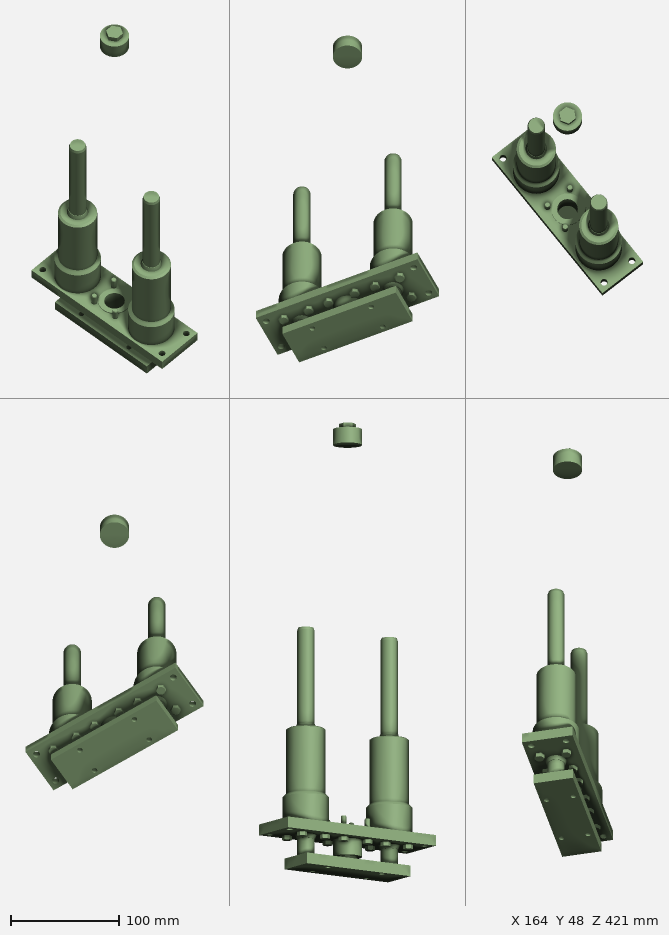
import cadquery as cq
import math

plate_thickness = 10.0
housing_bottom = 30.5
housing_top = housing_bottom + plate_thickness
overall_height = 421.0

rod_x = 46.3
rod_diameter = 16.0
rod_top = 224.5
rod_chamfer_height = 2.5
rod_chamfer_width = 1.0
sleeve_lower_diameter = 43.0
sleeve_upper_diameter = 36.0
sleeve_shoulder_bottom = 65.5
sleeve_shoulder_top = 69.0
sleeve_top = 130.5
sleeve_edge_height = 1.3
sleeve_edge_width = 2.0
wiper_base_diameter = 19.8
wiper_end_diameter = 17.0
wiper_height = 3.8

housing_length = 164.0
housing_width = 48.0
base_length = 115.5
base_width = 37.0
mount_hole_diameter = 6.5
mount_hole_x = 75.0
mount_hole_y = 16.5
base_hole_diameter = 5.0
base_hole_x = 30.0
base_hole_y = 12.5

socket_flange_diameter = 30.0
socket_flange_height = 1.0
socket_diameter = 27.0
socket_bottom = 14.7
socket_bore_diameter = 19.0
neck_diameter = 17.0

head_across_flats = 8.0
head_height = 4.0
head_chamfer_height = 0.7
sleeve_screw_offset = 12.5
screw_circle_diameter = 37.5
socket_screw_offset = screw_circle_diameter / 2 * math.cos(math.pi / 4)
screw_diameter = 5.0
screw_tip_diameter = 4.12
screw_top = 50.0
screw_tip_height = 1.0
screw_hole_diameter = 5.5

plug_diameter = 27.0
plug_height = 14.7
plug_hex_across_flats = 14.0
plug_hex_height = 5.0


def cylinder(diameter, bottom, top, x=0.0, y=0.0):
    """Upright cylinder between two heights."""
    return cq.Workplane("XY", origin=(x, y, bottom)).circle(diameter / 2).extrude(top - bottom)


def hexagon(across_flats, bottom, height, x=0.0, y=0.0):
    """Upright hexagonal prism with two of its flats facing +X and -X."""
    across_corners = across_flats / math.cos(math.pi / 6)
    outline = cq.Workplane("XY", origin=(x, y, bottom)).transformed(rotate=(0, 0, 30))
    return outline.polygon(6, across_corners).extrude(height)


def plate(length, width, bottom):
    """Flat plate centred on the Z axis."""
    blank = cq.Workplane("XY", origin=(0, 0, bottom))
    return blank.box(length, width, plate_thickness, centered=(True, True, False))


def corners(x, y):
    """The four points at (+-x, +-y)."""
    return [(side_x * x, side_y * y) for side_x in (-1, 1) for side_y in (-1, 1)]


def turned(profile, x, y=0.0):
    """Solid of revolution about the vertical line at (x, y), from (radius, height) points."""
    return cq.Workplane("XZ", origin=(x, y, 0)).polyline(profile).close().revolve(360, (0, 0), (0, 1))


def make_sleeve(x):
    """Stepped sleeve with a tapered wiper at each end, bored for its rod."""
    bore_radius = rod_diameter / 2
    upper_radius = sleeve_upper_diameter / 2
    lower_radius = sleeve_lower_diameter / 2
    wiper_base_radius = wiper_base_diameter / 2
    wiper_end_radius = wiper_end_diameter / 2
    profile = [
        (bore_radius, housing_bottom - wiper_height),
        (wiper_end_radius, housing_bottom - wiper_height),
        (wiper_base_radius, housing_bottom),
        (lower_radius, housing_bottom),
        (lower_radius, sleeve_shoulder_bottom),
        (upper_radius, sleeve_shoulder_top),
        (upper_radius, sleeve_top - sleeve_edge_height),
        (upper_radius - sleeve_edge_width, sleeve_top),
        (wiper_base_radius, sleeve_top),
        (wiper_end_radius, sleeve_top + wiper_height),
        (bore_radius, sleeve_top + wiper_height),
    ]
    return turned(profile, x)


def make_screw_head(x, y):
    """Hexagon head under the plate, its lower corners bevelled to a circle as wide as the flats."""
    head_bottom = housing_bottom - head_height
    face_radius = head_across_flats / 2
    bevel_radius = face_radius + head_chamfer_height / math.tan(math.pi / 6)
    bevel_profile = [
        (0, head_bottom),
        (face_radius, head_bottom),
        (bevel_radius, head_bottom + head_chamfer_height),
        (bevel_radius, housing_bottom),
        (0, housing_bottom),
    ]
    prism = hexagon(head_across_flats, head_bottom, head_height, x, y)
    return prism.intersect(turned(bevel_profile, x, y))


def make_screw(x, y):
    """Hexagon head under the plate with a tapered-tip shank rising through it."""
    tip_bottom = screw_top - screw_tip_height
    head = make_screw_head(x, y)
    shank = cylinder(screw_diameter, housing_bottom, tip_bottom, x, y)
    tip = (
        cq.Workplane("XY", origin=(x, y, tip_bottom))
        .circle(screw_diameter / 2)
        .workplane(offset=screw_tip_height)
        .circle(screw_tip_diameter / 2)
        .loft()
    )
    return head.union(shank).union(tip)


def make_housing():
    """Upper plate with its two sleeves, central socket and screws."""
    housing = plate(housing_length, housing_width, housing_bottom)
    for x, y in corners(mount_hole_x, mount_hole_y):
        housing = housing.cut(cylinder(mount_hole_diameter, housing_bottom, housing_top, x, y))

    for x in (-rod_x, rod_x):
        housing = housing.cut(cylinder(rod_diameter, housing_bottom, housing_top, x))
        housing = housing.union(make_sleeve(x))
        for screw_x, screw_y in corners(sleeve_screw_offset, sleeve_screw_offset):
            housing = housing.union(make_screw_head(x + screw_x, screw_y))

    flange_top = housing_top + socket_flange_height
    housing = housing.union(cylinder(socket_diameter, socket_bottom, housing_bottom))
    housing = housing.union(cylinder(socket_flange_diameter, housing_top, flange_top))
    for x, y in corners(socket_screw_offset, socket_screw_offset):
        housing = housing.cut(cylinder(screw_hole_diameter, housing_bottom, housing_top, x, y))
        housing = housing.union(make_screw(x, y))
    return housing.cut(cylinder(socket_bore_diameter, socket_bottom, flange_top))


def make_base():
    """Lower plate carrying both guide rods and the central neck."""
    base = plate(base_length, base_width, 0)
    for x, y in corners(base_hole_x, base_hole_y):
        base = base.cut(cylinder(base_hole_diameter, 0, plate_thickness, x, y))
    rod_radius = rod_diameter / 2
    rod_profile = [
        (0, plate_thickness),
        (rod_radius, plate_thickness),
        (rod_radius, rod_top - rod_chamfer_height),
        (rod_radius - rod_chamfer_width, rod_top),
        (0, rod_top),
    ]
    for x in (-rod_x, rod_x):
        base = base.union(turned(rod_profile, x))
    return base.union(cylinder(neck_diameter, plate_thickness, socket_bottom))


def make_plug():
    """Round plug with a hexagonal boss on top."""
    hex_bottom = overall_height - plug_hex_height
    body = cylinder(plug_diameter, hex_bottom - plug_height, hex_bottom)
    return body.union(hexagon(plug_hex_across_flats, hex_bottom, plug_hex_height))


housing = make_housing()
base = make_base()
plug = make_plug()

result = cq.Compound.makeCompound([housing.val(), base.val(), plug.val()])